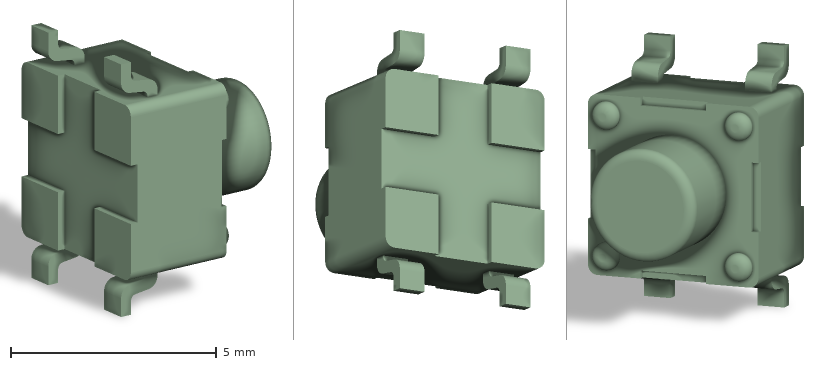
import cadquery as cq
import math


body_side = 4.5
corner_radius = 0.25
base_top = 2.75
foot_height = 0.2
foot_gap = 1.5

cover_thickness = 0.15
cover_top = base_top + cover_thickness
cover_notch_width = 1.73
cover_notch_depth = 0.2

button_top = 5.0
button_diameter = 2.8
button_round = 0.25

rivet_diameter = 0.7
rivet_height = 0.3
rivet_round = 0.25
rivet_offset = 1.75

lead_width = 0.7
lead_thickness = 0.3
lead_offset = 1.5
lead_reach = 3.25
lead_bar_bottom = 0.8
lead_bar_top = lead_bar_bottom + lead_thickness
lead_web_inner_z = 2.4
lead_web_rise = 0.1
lead_outside_bend = 0.3
lead_inside_bend = 0.15


def square_plate(bottom, top):
    """Square plate with rounded corners between two Y levels."""
    return (
        cq.Workplane("XY")
        .box(body_side, top - bottom, body_side)
        .translate((0, (bottom + top) / 2, 0))
        .edges("|Y")
        .fillet(corner_radius)
    )


def upright_cylinder(diameter, bottom, top):
    """Cylinder along +Y, centred on the pressing axis."""
    return (
        cq.Workplane("XZ", origin=(0, bottom, 0))
        .circle(diameter / 2)
        .extrude(bottom - top)
    )


def make_lead_half():
    """Half of a lead, from the middle of the base out to the +Z tip."""
    web_slope = lead_web_rise / lead_bar_bottom
    web_thickness_z = lead_thickness * math.hypot(1, web_slope)

    def inner_web_z(y):
        return lead_web_inner_z + (lead_bar_bottom - y) * web_slope

    def outer_web_z(y):
        return inner_web_z(y) + web_thickness_z

    bar_inside = (lead_bar_bottom, inner_web_z(lead_bar_bottom))
    foot_outside = (0, inner_web_z(0))
    foot_inside = (lead_thickness, outer_web_z(lead_thickness))
    bar_outside = (lead_bar_top, outer_web_z(lead_bar_top))
    profile = [
        (lead_bar_bottom, 0),
        bar_inside,
        foot_outside,
        (0, lead_reach),
        (lead_thickness, lead_reach),
        foot_inside,
        bar_outside,
        (lead_bar_top, 0),
    ]
    half = cq.Workplane("YZ").polyline(profile).close().extrude(lead_width / 2, both=True)
    bends = [
        (bar_inside, lead_inside_bend),
        (foot_outside, lead_outside_bend),
        (foot_inside, lead_inside_bend),
        (bar_outside, lead_outside_bend),
    ]
    for (y, z), radius in bends:
        half = half.edges(cq.NearestToPointSelector((0, y, z))).fillet(radius)
    return half


def make_lead(x):
    """Whole lead, symmetric about Z = 0, centred on the given X."""
    half = make_lead_half()
    return half.union(half.mirror("XY")).clean().translate((x, 0, 0))


def make_base(leads):
    """Housing block with a cross-shaped recess underneath and a passage for each lead."""
    base = square_plate(0, base_top)
    for width_x, width_z in [(foot_gap, body_side), (body_side, foot_gap)]:
        base = base.cut(cq.Workplane("XY").box(width_x, 2 * foot_height, width_z))
    for lead in leads:
        base = base.cut(lead)
    return base


def make_cover():
    """Plate with a notch in the middle of each side and a hole for the button."""
    cover = square_plate(base_top, cover_top)
    notch = (
        cq.Workplane("XY")
        .box(cover_notch_width, cover_thickness, 2 * cover_notch_depth)
        .translate((0, (base_top + cover_top) / 2, body_side / 2))
    )
    for quarter in range(4):
        cover = cover.cut(notch.rotate((0, 0, 0), (0, 1, 0), 90 * quarter))
    return cover.cut(upright_cylinder(button_diameter, base_top, cover_top))


def make_button():
    """Round button that stands on the base and passes through the cover."""
    post = upright_cylinder(button_diameter, base_top, button_top)
    return post.faces(">Y").edges().fillet(button_round)


def make_rivet(x, z):
    """Rounded rivet head resting on the cover."""
    head = upright_cylinder(rivet_diameter, cover_top, cover_top + rivet_height)
    return head.faces(">Y").edges().fillet(rivet_round).translate((x, 0, z))


leads = [make_lead(x) for x in (-lead_offset, lead_offset)]
rivets = [
    make_rivet(x, z)
    for x in (-rivet_offset, rivet_offset)
    for z in (-rivet_offset, rivet_offset)
]
base = make_base(leads)
cover = make_cover()
button = make_button()

bodies = [base, cover, button, *leads, *rivets]
result = cq.Compound.makeCompound([body.solids().val() for body in bodies])